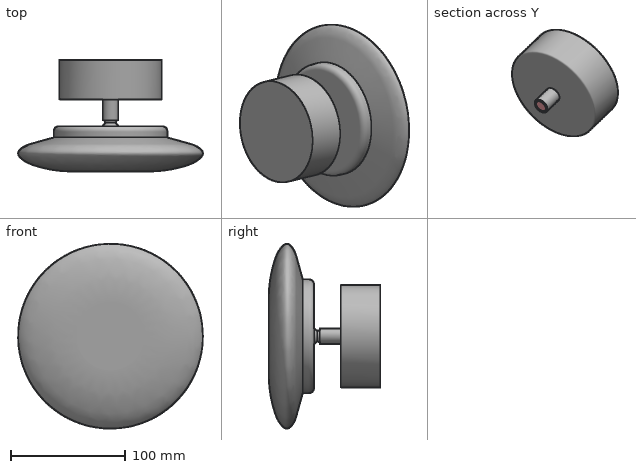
import cadquery as cq
import math

OVERALL_DEPTH = 98.0

DIFFUSER_RADIUS = 81.0
DIFFUSER_DEPTH = 30.0
RIM_Y = 16.2
FRONT_FLAT_RADIUS = 60.0 / 2
FRONT_CURVE = [(48.6, 1.1), (66.5, 5.3), (77.3, 10.7)]
BACK_CURVE = [(78.2, 20.4), (66.9, 25.3)]
BACK_RUN_PER_RISE = 4.0

PLATE_RADIUS = 100.0 / 2
PLATE_DEPTH = 10.0
PLATE_FILLET = PLATE_DEPTH / 2
PLATE_BACK_Y = DIFFUSER_DEPTH + PLATE_DEPTH

CANOPY_RADIUS = 90.0 / 2
CANOPY_DEPTH = 35.0
CANOPY_FILLET = 1.5
CANOPY_FRONT_Y = OVERALL_DEPTH - CANOPY_DEPTH

ROD_RADIUS = 14.0 / 2
ROD_FRONT_Y = 44.9

BALL_RADIUS = 11.0 / 2
BALL_Y = 45.8
FOOT_RADIUS = 7.0
NECK_RADIUS = 4.5
NECK_Y = BALL_Y - math.sqrt(BALL_RADIUS**2 - NECK_RADIUS**2)


def revolve_about_y(profile):
    """Turn a closed (radius, Y) profile a full circle about the Y axis."""
    return profile.close().revolve(360, (0, 0), (0, 1))


def cylinder_along_y(radius, start_y, length):
    return revolve_about_y(
        cq.Workplane("XY")
        .moveTo(0, start_y)
        .lineTo(radius, start_y)
        .lineTo(radius, start_y + length)
        .lineTo(0, start_y + length)
    )


def make_diffuser():
    rim = (DIFFUSER_RADIUS, RIM_Y)
    back_edge = (PLATE_RADIUS, DIFFUSER_DEPTH)
    return revolve_about_y(
        cq.Workplane("XY")
        .lineTo(FRONT_FLAT_RADIUS, 0)
        .spline(
            [*FRONT_CURVE, rim, *BACK_CURVE, back_edge],
            tangents=[(1, 0), (-BACK_RUN_PER_RISE, 1)],
            includeCurrent=True,
        )
        .lineTo(0, DIFFUSER_DEPTH)
    )


def make_plate():
    plate = cylinder_along_y(PLATE_RADIUS, DIFFUSER_DEPTH, PLATE_DEPTH)
    return plate.faces(">Y").edges().fillet(PLATE_FILLET)


def make_canopy():
    canopy = cylinder_along_y(CANOPY_RADIUS, CANOPY_FRONT_Y, CANOPY_DEPTH)
    return canopy.faces("<Y").edges().fillet(CANOPY_FILLET)


def make_ball():
    return cq.Workplane("XY").sphere(BALL_RADIUS).translate((0, BALL_Y, 0))


def make_rod():
    rod = cylinder_along_y(ROD_RADIUS, ROD_FRONT_Y, CANOPY_FRONT_Y - ROD_FRONT_Y)
    return rod.cut(make_ball())


def make_ball_stud():
    foot = revolve_about_y(
        cq.Workplane("XY")
        .moveTo(0, PLATE_BACK_Y)
        .lineTo(FOOT_RADIUS, PLATE_BACK_Y)
        .lineTo(NECK_RADIUS, NECK_Y)
        .lineTo(0, BALL_Y)
    )
    return foot.union(make_ball())


diffuser = make_diffuser()
plate = make_plate()
canopy = make_canopy()
rod = make_rod()
ball_stud = make_ball_stud()

result = cq.Compound.makeCompound(
    [diffuser.val(), plate.val(), canopy.val(), rod.val(), ball_stud.val()]
)